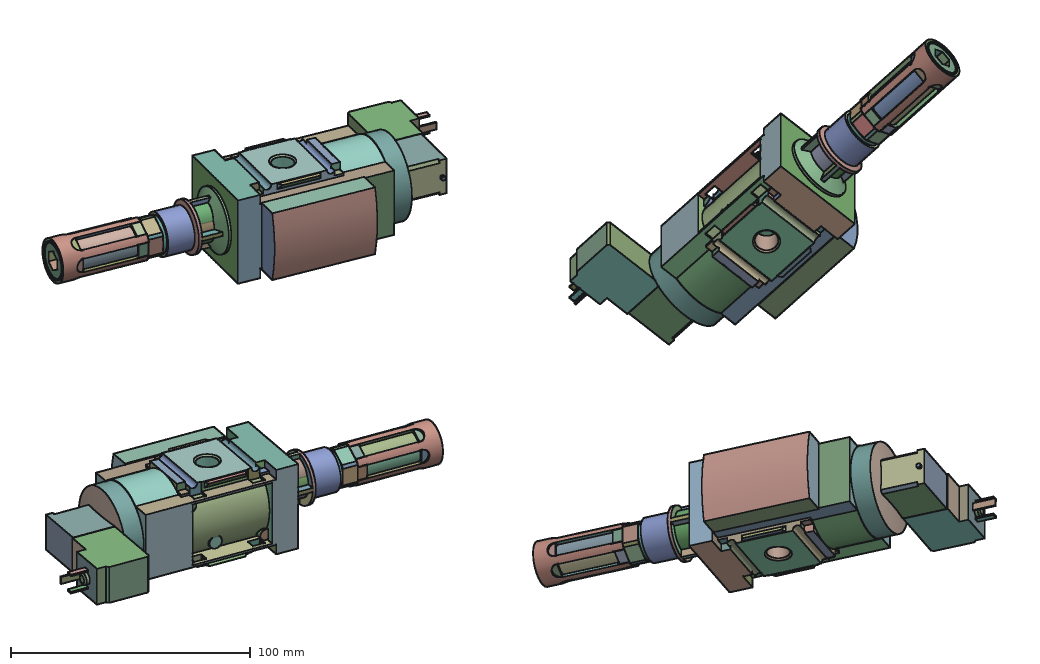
import cadquery as cq
import math


BLOCK_LEFT = -21.3
BLOCK_RIGHT = 21.0
BLOCK_HALF_HEIGHT = 40.1 / 2
FRONT_PLATE_LENGTH = 10.5
BODY_END = 52.5
HEAD_END = 73.1
FLANK_HALF_HEIGHT = 15.5

PAD_HALF_WIDTH = 15.1
PORT_Y = (FRONT_PLATE_LENGTH + BODY_END) / 2
PORT_DIAMETER = 9.9
PORT_DEPTH = 11.6
PORT_MOUTH_DIAMETER = 11.5
GROOVE_DIAMETER = 3.9
GROOVE_OFFSETS = (-15.0, 15.1)
GROOVE_SINK = 0.2
PAD_CORNER_X = 11.5
PAD_CORNER_LENGTH = 4.3
PAD_CORNER_DEPTH = 3.5
TAB_OVERHANG = 2.1
TAB_DROP = 0.4
TAB_HEIGHT = 2.7
TAB_LENGTH = 20.2
TAB_TAPER = 1.4

SLOT_LEFT = -19.2
SLOT_RIGHT = -14.7
SLOT_LENGTH = 5.8
SLOT_OFFSETS = (-14.0, 14.2)

WINDOW_START = 12.5
WINDOW_END = 50.6
WINDOW_HALF_HEIGHT = 28.9 / 2
BOSS_ROOT_X = -11.6
CORE_RADIUS = 19.0
BOSS_FACE_X = -18.0
WINDOW_BOSSES = ((37.6, -8.5, 6.0), (49.5, 11.5, 5.0), (13.8, -11.5, 5.0))

COVER_START = 11.0
COVER_END = 59.1
COVER_HALF_HEIGHT = 16.0
COVER_EDGE_X = 30.8
COVER_CROWN_X = 33.0

FLANGE_RADIUS = 19.8
FLANGE_END = 82.0
DOME_HEIGHT = 1.5
SOLENOID_START = 83.0
PLUG_HALF_HEIGHT = 8.5
SOLENOID_SPLIT_X = -12.5
COIL_HALF_HEIGHT = 8.3
COIL_RIGHT = 10.9
COIL_END = 102.8
COIL_CHAMFER = 1.4
COIL_CHAMFER_END = 99.5
NUB_DIAMETER = 2.0
NUB_Y = 100.6
NUB_LENGTH = 1.4
PLUG_LEFT = -42.3
PLUG_END = 103.3
PLUG_CHAMFER = 1.0
SOCKET_LEFT = -41.1
SOCKET_RIGHT = -24.0
SOCKET_END = 107.6

CONTACT_X = -32.4
CONTACT_THICKNESS = 0.8
SIDE_CONTACT_WIDTH = 2.7
SIDE_CONTACT_Z = 4.0
SIDE_CONTACT_END = 116.0
EARTH_CONTACT_X = -28.7
EARTH_CONTACT_WIDTH = 3.3
SCREW_BOSS_DIAMETER = 5.5
SCREW_BOSS_LENGTH = 2.3
SCREW_BOSS_CHAMFER = 0.8

NECK_FLANGE_RADIUS = 29.5 / 2
NECK_FLANGE_LENGTH = 1.2
CONE_END = -4.7
HUB_RADIUS = 17.0 / 2
COLLAR_RADIUS = 24.0 / 2
COLLAR_START = -12.2
COLLAR_EDGE = -13.8
COLLAR_END = -14.5
NECK_RADIUS = 19.5 / 2
NECK_END = -27.0
RIB_THICKNESS = 2.0
RIB_ANGLES = (0, 90, 180, 270)
HUB_RISE_RADIUS = 7.5
HUB_RISE_OFFSET = 2.3

OVERALL_LENGTH = 193.9
SILENCER_TIP = -76.0
RING_END = -28.7
HEX_END = -35.7
HEX_SIDES = 6
HEX_ACROSS_FLATS = 17.0
HEX_TURNED_DIAMETER = 18.8
TUBE_RADIUS = 19.5 / 2
FLUTE_COUNT = 6
FLUTE_WIDTH = 6.4
FLUTE_CUTTER_OVERSHOOT = 2.0
FLUTE_FLAT_X = -8.7
FLUTE_WINDOW_START = -40.1
FLUTE_CORNER_RADIUS = 0.8
FLUTE_ROUND_Y = -66.3
INNER_RADIUS = 7.8
SOCKET_ACROSS_FLATS = 8.0
SOCKET_DEPTH = 7.8
TIP_GROOVE_OUTER = 17.0
TIP_GROOVE_INNER = 15.7
TIP_GROOVE_DEPTH = 0.4

CONTACT_TIP = SILENCER_TIP + OVERALL_LENGTH


def box(x0, x1, y0, y1, z0, z1):
    """Axis-aligned block between two corners."""
    return cq.Workplane("XY").box(x1 - x0, y1 - y0, z1 - z0, centered=False).translate((x0, y0, z0))


def rod(y0, y1, radius):
    """Cylinder on the Y axis."""
    return cq.Workplane("XZ", origin=(0, y0, 0)).circle(radius).extrude(y0 - y1)


def hex_bar(y0, y1, across_flats):
    """Hexagonal bar on the Y axis with two flats square to X."""
    half_sector = 360 / (2 * HEX_SIDES)
    corner_diameter = across_flats / math.cos(math.radians(half_sector))
    profile = cq.Workplane("XZ", origin=(0, y0, 0)).polygon(HEX_SIDES, corner_diameter)
    return profile.extrude(y0 - y1).rotate((0, 0, 0), (0, 1, 0), half_sector)


def both_faces(shape):
    """The shape and its mirror image below Z = 0."""
    return shape.union(shape.mirror("XY"))


def valve_block():
    """Front plate, flat-sided middle and rounded rear head."""
    plate = box(BLOCK_LEFT, BLOCK_RIGHT, 0, FRONT_PLATE_LENGTH, -BLOCK_HALF_HEIGHT, BLOCK_HALF_HEIGHT)
    flank = box(BLOCK_LEFT, BLOCK_RIGHT, 0, HEAD_END, -FLANK_HALF_HEIGHT, FLANK_HALF_HEIGHT)
    head = rod(BODY_END, HEAD_END, BLOCK_HALF_HEIGHT)
    return plate.union(flank).union(head)


def port_pad():
    """Upper port pad with grooves, dovetail tabs, and relieved corners."""
    top = BLOCK_HALF_HEIGHT
    pad = box(-PAD_HALF_WIDTH, PAD_HALF_WIDTH, FRONT_PLATE_LENGTH, BODY_END, WINDOW_HALF_HEIGHT, top)

    tab_top = top - TAB_DROP
    tab_base = tab_top - TAB_HEIGHT
    tab_tip = PAD_HALF_WIDTH + TAB_OVERHANG
    tab_plan = (
        cq.Workplane("XY", origin=(0, PORT_Y, tab_base))
        .polyline([
            (0, TAB_LENGTH / 2),
            (PAD_HALF_WIDTH, TAB_LENGTH / 2),
            (tab_tip, TAB_LENGTH / 2 - TAB_TAPER),
            (tab_tip, -TAB_LENGTH / 2 + TAB_TAPER),
            (PAD_HALF_WIDTH, -TAB_LENGTH / 2),
            (0, -TAB_LENGTH / 2),
        ])
        .close()
        .extrude(TAB_HEIGHT)
    )
    tab_section = (
        cq.Workplane("XZ", origin=(0, PORT_Y + TAB_LENGTH / 2, 0))
        .polyline([(0, tab_top), (tab_tip, tab_top), (PAD_HALF_WIDTH, tab_base), (0, tab_base)])
        .close()
        .extrude(TAB_LENGTH)
    )
    tab = tab_plan.intersect(tab_section)
    pad = pad.union(tab).union(tab.mirror("YZ"))

    for offset in GROOVE_OFFSETS:
        groove = (
            cq.Workplane("YZ", origin=(-PAD_HALF_WIDTH, PORT_Y + offset, top - GROOVE_SINK))
            .circle(GROOVE_DIAMETER / 2)
            .extrude(2 * PAD_HALF_WIDTH)
        )
        pad = pad.cut(groove)

    for y0 in (FRONT_PLATE_LENGTH, BODY_END - PAD_CORNER_LENGTH):
        corner = box(PAD_CORNER_X, PAD_HALF_WIDTH, y0, y0 + PAD_CORNER_LENGTH, top - PAD_CORNER_DEPTH, top)
        pad = pad.cut(corner).cut(corner.mirror("YZ"))
    return pad


def port_hole():
    """Upper threaded port: a blind bore with a chamfered mouth."""
    bore = (
        cq.Workplane("XY", origin=(0, PORT_Y, BLOCK_HALF_HEIGHT - PORT_DEPTH))
        .circle(PORT_DIAMETER / 2)
        .extrude(PORT_DEPTH)
    )
    mouth_depth = (PORT_MOUTH_DIAMETER - PORT_DIAMETER) / 2
    mouth = (
        cq.Workplane("XY", origin=(0, PORT_Y, BLOCK_HALF_HEIGHT))
        .circle(PORT_MOUTH_DIAMETER / 2)
        .workplane(offset=-mouth_depth)
        .circle(PORT_DIAMETER / 2)
        .loft()
    )
    return bore.union(mouth)


def flank_slots():
    """Openings from the upper face down into the side window."""
    slots = cq.Workplane("XY")
    for offset in SLOT_OFFSETS:
        middle = PORT_Y + offset
        slots = slots.union(box(
            SLOT_LEFT, SLOT_RIGHT, middle - SLOT_LENGTH / 2, middle + SLOT_LENGTH / 2,
            WINDOW_HALF_HEIGHT, BLOCK_HALF_HEIGHT,
        ))
    return slots


def side_window():
    """Space between the left face and the cylindrical core."""
    core_edge_x = -math.sqrt(CORE_RADIUS**2 - WINDOW_HALF_HEIGHT**2)
    return (
        cq.Workplane("XZ", origin=(0, WINDOW_END, 0))
        .moveTo(BLOCK_LEFT, -WINDOW_HALF_HEIGHT)
        .lineTo(core_edge_x, -WINDOW_HALF_HEIGHT)
        .threePointArc((-CORE_RADIUS, 0), (core_edge_x, WINDOW_HALF_HEIGHT))
        .lineTo(BLOCK_LEFT, WINDOW_HALF_HEIGHT)
        .close()
        .extrude(WINDOW_END - WINDOW_START)
    )


def window_bosses():
    """Round bosses that stand out from the core into the window."""
    bosses = cq.Workplane("XY")
    for y, z, diameter in WINDOW_BOSSES:
        boss = cq.Workplane("YZ", origin=(BOSS_FACE_X, y, z)).circle(diameter / 2)
        bosses = bosses.union(boss.extrude(BOSS_ROOT_X - BOSS_FACE_X))
    return bosses


def side_cover():
    """Cover on the right face with a crowned outer side."""
    return (
        cq.Workplane("XZ", origin=(0, COVER_START, 0))
        .moveTo(BLOCK_RIGHT, -COVER_HALF_HEIGHT)
        .lineTo(COVER_EDGE_X, -COVER_HALF_HEIGHT)
        .threePointArc((COVER_CROWN_X, 0), (COVER_EDGE_X, COVER_HALF_HEIGHT))
        .lineTo(BLOCK_RIGHT, COVER_HALF_HEIGHT)
        .close()
        .extrude(COVER_START - COVER_END)
    )


def solenoid_flange():
    """Round rear flange with a slightly domed end."""
    dome_radius = (FLANGE_RADIUS**2 + DOME_HEIGHT**2) / (2 * DOME_HEIGHT)
    mid_x = FLANGE_RADIUS / 2
    mid_y = FLANGE_END + DOME_HEIGHT - dome_radius + math.sqrt(dome_radius**2 - mid_x**2)
    return (
        cq.Workplane("XY")
        .moveTo(0, HEAD_END)
        .lineTo(FLANGE_RADIUS, HEAD_END)
        .lineTo(FLANGE_RADIUS, FLANGE_END)
        .threePointArc((mid_x, mid_y), (0, FLANGE_END + DOME_HEIGHT))
        .close()
        .revolve(360, (0, 0, 0), (0, 1, 0))
    )


def coil():
    """Solenoid coil with bevelled right-hand edges and a small side nub."""
    half = COIL_HALF_HEIGHT
    lower = box(SOLENOID_SPLIT_X, COIL_RIGHT, FLANGE_END, COIL_CHAMFER_END, -half, half)
    lower = lower.edges("|Y and >X").chamfer(COIL_CHAMFER)
    upper = box(SOLENOID_SPLIT_X, COIL_RIGHT, COIL_CHAMFER_END, COIL_END, -half, half)
    nub = cq.Workplane("YZ", origin=(COIL_RIGHT, NUB_Y, 0)).circle(NUB_DIAMETER / 2).extrude(NUB_LENGTH)
    return lower.union(upper).union(nub)


def plug():
    """Plug housing beside the coil with its raised contact socket."""
    half = PLUG_HALF_HEIGHT
    housing = box(PLUG_LEFT, SOLENOID_SPLIT_X, SOLENOID_START, PLUG_END, -half, half)
    housing = housing.edges("|Z and <X").chamfer(PLUG_CHAMFER)
    socket = box(SOCKET_LEFT, SOCKET_RIGHT, PLUG_END, SOCKET_END, -half, half)
    return housing.union(socket)


def contacts():
    """Two side contacts, the earth contact and the screw boss."""
    half_thickness = CONTACT_THICKNESS / 2
    side = box(
        CONTACT_X - SIDE_CONTACT_WIDTH / 2, CONTACT_X + SIDE_CONTACT_WIDTH / 2,
        SOCKET_END, SIDE_CONTACT_END,
        SIDE_CONTACT_Z - half_thickness, SIDE_CONTACT_Z + half_thickness,
    )
    earth = box(
        EARTH_CONTACT_X - half_thickness, EARTH_CONTACT_X + half_thickness,
        SOCKET_END, CONTACT_TIP,
        -EARTH_CONTACT_WIDTH / 2, EARTH_CONTACT_WIDTH / 2,
    )
    screw_boss = (
        rod(SOCKET_END, SOCKET_END + SCREW_BOSS_LENGTH, SCREW_BOSS_DIAMETER / 2)
        .faces(">Y")
        .chamfer(SCREW_BOSS_CHAMFER)
        .translate((CONTACT_X, 0, 0))
    )
    return both_faces(side).union(earth).union(screw_boss)


def neck():
    """Turned neck that carries the silencer, with ribs between cone and collar."""
    turned = (
        cq.Workplane("XY")
        .polyline([
            (0, 0),
            (NECK_FLANGE_RADIUS, 0),
            (NECK_FLANGE_RADIUS, -NECK_FLANGE_LENGTH),
            (HUB_RADIUS, CONE_END),
            (HUB_RADIUS, COLLAR_START),
            (COLLAR_RADIUS, COLLAR_START),
            (COLLAR_RADIUS, COLLAR_EDGE),
            (NECK_RADIUS, COLLAR_END),
            (NECK_RADIUS, NECK_END),
            (0, NECK_END),
        ])
        .close()
        .revolve(360, (0, 0, 0), (0, 1, 0))
    )
    rib = box(0, COLLAR_RADIUS, COLLAR_START, 0, -RIB_THICKNESS / 2, RIB_THICKNESS / 2)
    rib = rib.intersect(rod(COLLAR_START, 0, COLLAR_RADIUS))
    for angle in RIB_ANGLES:
        turned = turned.union(rib.rotate((0, 0, 0), (0, 1, 0), angle))

    hub_rise = rod(COLLAR_START, 0, HUB_RISE_RADIUS).translate((0, 0, HUB_RISE_OFFSET))
    return turned.union(hub_rise)


def make_valve():
    """Complete valve: block, ports, cover, solenoid and silencer neck."""
    body = valve_block().union(both_faces(port_pad()))
    body = body.cut(both_faces(port_hole()))
    body = body.cut(both_faces(flank_slots()))
    body = body.cut(side_window()).union(window_bosses())
    for part in (side_cover(), solenoid_flange(), coil(), plug(), contacts(), neck()):
        body = body.union(part)
    return body


def flute():
    """Cutter for one flute on the -X side: a flat with a rounded end and a deep window."""
    half_width = FLUTE_WIDTH / 2
    reach = TUBE_RADIUS + FLUTE_CUTTER_OVERSHOOT
    flat = box(-reach, FLUTE_FLAT_X, FLUTE_ROUND_Y, HEX_END, -half_width, half_width)
    round_end = (
        cq.Workplane("YZ", origin=(-reach, FLUTE_ROUND_Y, 0)).circle(half_width).extrude(reach + FLUTE_FLAT_X)
    )
    window = box(-reach, 0, FLUTE_ROUND_Y, FLUTE_WINDOW_START, -half_width, half_width)
    window = window.edges("|X").fillet(FLUTE_CORNER_RADIUS)
    window = window.cut(rod(FLUTE_ROUND_Y, FLUTE_WINDOW_START, INNER_RADIUS))
    return flat.union(round_end).union(window)


def make_silencer():
    """Silencer: hexagon, fluted tube and hexagon socket in the tip."""
    ring = rod(RING_END, NECK_END, HUB_RADIUS)
    hexagon = hex_bar(HEX_END, RING_END, HEX_ACROSS_FLATS)
    hexagon = hexagon.intersect(rod(HEX_END, RING_END, HEX_TURNED_DIAMETER / 2))
    silencer = ring.union(hexagon).union(rod(SILENCER_TIP, HEX_END, TUBE_RADIUS))

    for index in range(FLUTE_COUNT):
        silencer = silencer.cut(flute().rotate((0, 0, 0), (0, 1, 0), index * 360 / FLUTE_COUNT))

    silencer = silencer.cut(hex_bar(SILENCER_TIP, SILENCER_TIP + SOCKET_DEPTH, SOCKET_ACROSS_FLATS))
    groove_end = SILENCER_TIP + TIP_GROOVE_DEPTH
    tip_groove = rod(SILENCER_TIP, groove_end, TIP_GROOVE_OUTER / 2)
    tip_groove = tip_groove.cut(rod(SILENCER_TIP, groove_end, TIP_GROOVE_INNER / 2))
    return silencer.cut(tip_groove)


valve = make_valve()
silencer = make_silencer()
result = cq.Compound.makeCompound([valve.val(), silencer.val()])